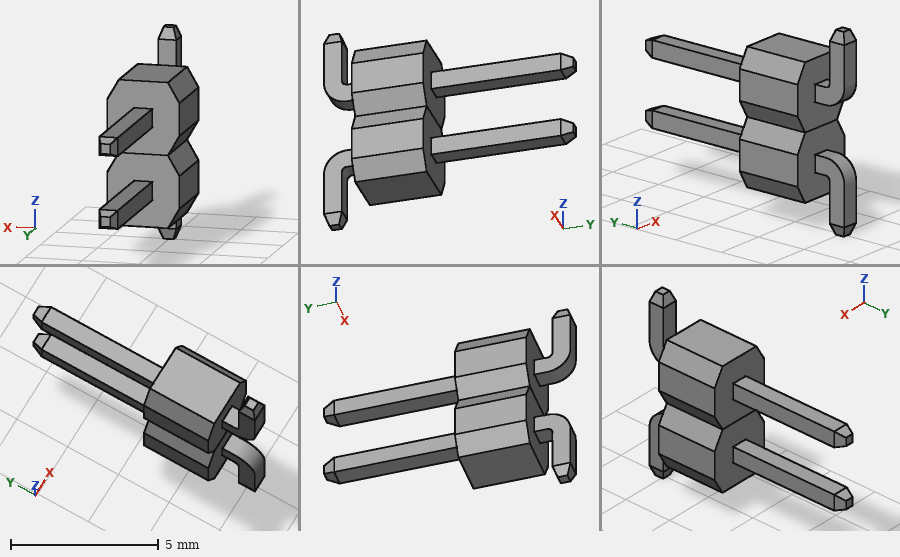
import cadquery as cq

total_length = 8.82
total_height = 7.39

pitch = 2.54
chamfer_x = 0.41
chamfer_z = 0.7

pin_width = 0.64
tip_width = 0.34
tip_length = 0.41
inner_bend_radius = 0.18
leg_reach = 1.28

leg_front = -leg_reach
leg_back = leg_front + pin_width
tip_end_y = total_length - leg_reach
shank_end_y = tip_end_y - tip_length

pin_z = pitch / 2
pin_bottom = pin_z - pin_width / 2
pin_top = pin_z + pin_width / 2
leg_end_z = total_height / 2 - tip_length
outer_bend_radius = inner_bend_radius + pin_width


def make_housing(center_z):
    """Octagonal block with a square through hole for its pin."""
    half = pitch / 2
    flat_x = half - chamfer_x
    flat_z = half - chamfer_z
    outline = [
        (-flat_x, -half), (flat_x, -half), (half, -flat_z), (half, flat_z),
        (flat_x, half), (-flat_x, half), (-half, flat_z), (-half, -flat_z),
    ]
    section = cq.Workplane("XZ", origin=(0, 0, center_z))
    block = section.polyline(outline).close().extrude(-pitch)
    hole = section.rect(pin_width, pin_width).extrude(-pitch)
    return block.cut(hole)


def make_tip(plane):
    """Square frustum narrowing along the plane normal."""
    return (
        cq.Workplane(plane)
        .rect(pin_width, pin_width)
        .workplane(offset=tip_length)
        .rect(tip_width, tip_width)
        .loft(combine=True)
    )


def make_upper_pin():
    """Pin running along Y, bent upward in front of the housing."""
    wire = (
        cq.Workplane("YZ")
        .moveTo(shank_end_y, pin_bottom)
        .lineTo(leg_front + outer_bend_radius, pin_bottom)
        .radiusArc((leg_front, pin_bottom + outer_bend_radius), outer_bend_radius)
        .lineTo(leg_front, leg_end_z)
        .lineTo(leg_back, leg_end_z)
        .lineTo(leg_back, pin_top + inner_bend_radius)
        .radiusArc((leg_back + inner_bend_radius, pin_top), -inner_bend_radius)
        .lineTo(shank_end_y, pin_top)
        .close()
        .extrude(pin_width / 2, both=True)
    )
    leg_center_y = (leg_front + leg_back) / 2
    shank_tip = make_tip(cq.Plane((0, shank_end_y, pin_z), (1, 0, 0), (0, 1, 0)))
    leg_tip = make_tip(cq.Plane((0, leg_center_y, leg_end_z), (1, 0, 0), (0, 0, 1)))
    return wire.union(shank_tip).union(leg_tip)


def make_pin(upper):
    """The lower pin is the upper one mirrored across Z = 0."""
    pin = make_upper_pin()
    return pin if upper else pin.mirror("XY")


housings = []
pins = []
for upper in (True, False):
    housings.append(make_housing(pin_z if upper else -pin_z).val())
    pins.append(make_pin(upper).val())

result = cq.Compound.makeCompound([*housings, *pins])